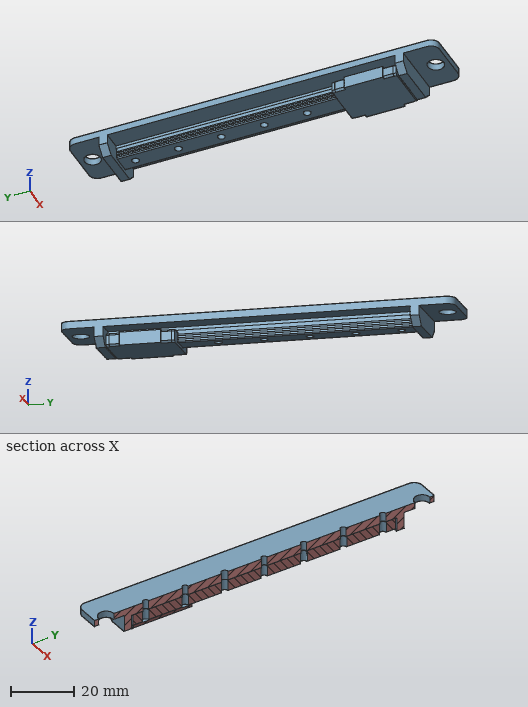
import cadquery as cq


plate_width = 20.0
plate_length = 129.0
plate_thickness = 2.5
corner_radius = 3.0
mount_hole_diameter = 5.5
mount_hole_spacing = 120.0

screw_count = 7
screw_pitch = mount_hole_spacing / (screw_count + 1)
screw_hole_diameter = 2.0
wide_hole_diameter = 2.5
wide_hole_index = 2

total_height = 8.5
stop_drop = total_height - plate_thickness
stop_thickness = 3.0
stop_chamfer = 3.0

rail_width = 7.0
rail_length = 100.0
rail_height = 4.0
rail_end_gap = 0.3
rail_chamfer = 0.4
groove_diameter = 0.5
groove_depths = (1.5, 2.7)
seat_height = 1.0
rail_bottom = -seat_height - rail_height
stop_inner_y = rail_length / 2 + rail_end_gap
seat_length = 2 * stop_inner_y

carriage_y = -38.6
carriage_width = 17.0
carriage_height = 4.3
carriage_length = 22.5
core_length = 13.5
cap_inset = 0.4
cap_chamfer = 0.6
seal_thickness = 1.0
seal_inset = 0.5
carriage_bottom = -stop_drop


def y_aligned_box(width, length, height, bottom):
    """Box centred on X and Y that stands on the given Z level."""
    return cq.Workplane("XY").box(width, length, height, centered=(True, True, False)).translate((0, 0, bottom))


def screw_positions():
    """Screw centres along Y, starting from the -Y end."""
    first = -screw_pitch * (screw_count - 1) / 2
    return [(0, first + i * screw_pitch) for i in range(screw_count)]


def drill(body, positions, diameter):
    """Cut vertical holes right through a body."""
    tools = (
        cq.Workplane("XY", origin=(0, 0, -total_height))
        .pushPoints(positions)
        .circle(diameter / 2)
        .extrude(2 * total_height)
    )
    return body.cut(tools)


def make_stop():
    """Full-width end stop with chamfered lower corners."""
    stop = y_aligned_box(plate_width, stop_thickness, stop_drop, -stop_drop)
    return stop.faces("<Z").edges("|Y").chamfer(stop_chamfer)


def make_base():
    """Plate, rail seat and both end stops in one piece, with all its holes."""
    base = y_aligned_box(plate_width, plate_length, plate_thickness, 0)
    base = base.edges("|Z").fillet(corner_radius)
    base = base.union(y_aligned_box(rail_width, seat_length, seat_height, -seat_height))
    stop_y = stop_inner_y + stop_thickness / 2
    for side in (-1, 1):
        base = base.union(make_stop().translate((0, side * stop_y, 0)))
    mount_positions = [(0, side * mount_hole_spacing / 2) for side in (-1, 1)]
    base = drill(base, mount_positions, mount_hole_diameter)
    base = drill(base, screw_positions(), screw_hole_diameter)
    return drill(base, [screw_positions()[wide_hole_index]], wide_hole_diameter)


def make_rail():
    """Rail with two ball grooves along each side and a row of screw holes."""
    rail = y_aligned_box(rail_width, rail_length, rail_height, rail_bottom)
    rail = rail.faces("<Z").edges("|Y").chamfer(rail_chamfer)
    for side in (-1, 1):
        for depth in groove_depths:
            groove = (
                cq.Workplane("XZ")
                .center(side * rail_width / 2, -seat_height - depth)
                .circle(groove_diameter / 2)
                .extrude(rail_length / 2, both=True)
            )
            rail = rail.cut(groove)
    return drill(rail, screw_positions(), wide_hole_diameter)


def make_carriage_section(width, length):
    """Carriage slice whose four long edges are chamfered."""
    section = y_aligned_box(width, length, carriage_height, carriage_bottom)
    return section.edges("|Y").chamfer(cap_chamfer)


def make_carriage():
    """Solid core between two end caps with seals, channelled to ride on the rail."""
    caps = make_carriage_section(carriage_width - 2 * cap_inset, carriage_length - 2 * seal_thickness)
    seals = make_carriage_section(carriage_width - 2 * seal_inset, carriage_length)
    core = y_aligned_box(carriage_width, core_length, carriage_height, carriage_bottom)
    channel = y_aligned_box(rail_width, carriage_length, total_height, rail_bottom)
    carriage = core.union(caps).union(seals).cut(channel)
    return carriage.translate((0, carriage_y, 0))


base = make_base()
rail = make_rail()
carriage = make_carriage()

result = cq.Compound.makeCompound([base.val(), rail.val(), carriage.val()])